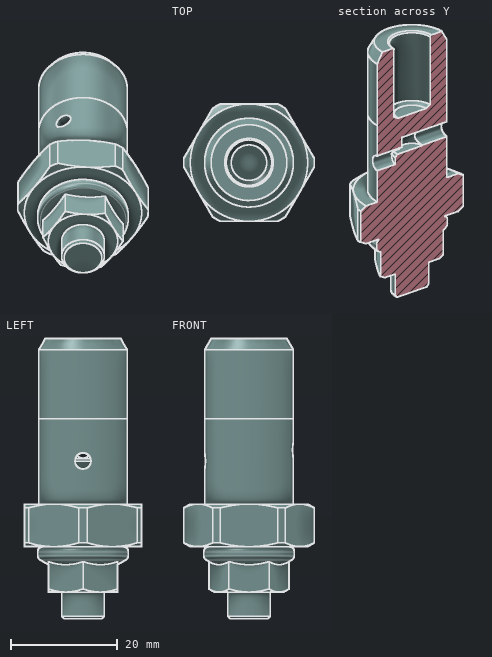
import cadquery as cq
import math

total_height = 52.5
nut_bottom = 5.0
hex_bottom = 13.5
hex_top = 21.5

stud_top = 30.0
stud_diameter = 8.0
stud_tip_diameter = 7.1
stud_chamfer_height = 0.5

hex_width = 22.0
hex_corner_diameter = 24.5
nut_width = 13.0
hex_chamfer_angle = math.radians(30)

collar_diameter = 17.0
collar_round = 0.9
collar_band_bottom = 11.8
collar_cone_angle = math.radians(30)
collar_tangent_angle = math.pi / 2 - collar_cone_angle

body_diameter = 16.66
lower_body_diameter = 16.65
lower_body_top = 37.5
body_tip_diameter = 14.2
body_chamfer_angle = math.radians(60)

bore_diameter = 8.5
bore_mouth_diameter = 9.1
bore_mouth_depth = 0.3
bore_floor_diameter = 6.65
bore_floor_height = 37.5
bore_cone_height = 0.5

chamber_diameter = 4.75

cross_hole_diameter = 3.0
left_hole_height = 29.55
right_hole_height = 31.6

chamber_top = right_hole_height + cross_hole_diameter / 2


def revolve_profile(profile):
    """Turn a closed (radius, height) profile around the Z axis."""
    return profile.close().revolve(360, (0, 0, 0), (0, 1, 0))


def corner_diameter(width):
    """Diameter across the corners of a hexagon given by its width across flats."""
    return width / math.cos(math.pi / 6)


def hexagon(width, bottom, top):
    """Hexagonal prism given by its width across flats."""
    plane = cq.Workplane("XY").workplane(offset=bottom)
    return plane.polygon(6, corner_diameter(width)).extrude(top - bottom)


def chamfered_disc(face_diameter, outer_diameter, bottom, top, chamfer_top):
    """Disc whose conical edge chamfers trim the corners of a hexagon."""
    face_radius = face_diameter / 2
    outer_radius = outer_diameter / 2
    drop = (outer_radius - face_radius) * math.tan(hex_chamfer_angle)
    profile = (
        cq.Workplane("XZ")
        .moveTo(0, bottom)
        .lineTo(face_radius, bottom)
        .lineTo(outer_radius, bottom + drop)
    )
    if chamfer_top:
        profile = profile.lineTo(outer_radius, top - drop).lineTo(face_radius, top)
    else:
        profile = profile.lineTo(outer_radius, top)
    return revolve_profile(profile.lineTo(0, top))


def make_stud():
    radius = stud_diameter / 2
    tip_radius = stud_tip_diameter / 2
    return revolve_profile(
        cq.Workplane("XZ")
        .lineTo(tip_radius, 0)
        .lineTo(radius, stud_chamfer_height)
        .lineTo(radius, stud_top - stud_chamfer_height)
        .lineTo(tip_radius, stud_top)
        .lineTo(0, stud_top)
    )


def collar_arc_point(angle):
    """Point on the lower collar round, at an angle below the horizontal."""
    center_radius = collar_diameter / 2 - collar_round
    radius = center_radius + collar_round * math.cos(angle)
    height = collar_band_bottom - collar_round * math.sin(angle)
    return radius, height


def make_nut():
    nut_top = collar_arc_point(collar_tangent_angle)[1]
    blank = hexagon(nut_width, nut_bottom, nut_top)
    return blank.intersect(chamfered_disc(nut_width, corner_diameter(nut_width), nut_bottom, nut_top, False))


def make_collar():
    radius = collar_diameter / 2
    band_top = hex_bottom - collar_round
    cone_radius, cone_top = collar_arc_point(collar_tangent_angle)
    apex_height = cone_top - cone_radius * math.tan(collar_cone_angle)
    upper_mid = (
        radius - collar_round + collar_round * math.cos(math.pi / 4),
        band_top + collar_round * math.sin(math.pi / 4),
    )
    return revolve_profile(
        cq.Workplane("XZ")
        .moveTo(0, apex_height)
        .lineTo(cone_radius, cone_top)
        .threePointArc(collar_arc_point(collar_tangent_angle / 2), (radius, collar_band_bottom))
        .lineTo(radius, band_top)
        .threePointArc(upper_mid, (radius - collar_round, hex_bottom))
        .lineTo(0, hex_bottom)
    )


def make_main_hex():
    blank = hexagon(hex_width, hex_bottom, hex_top)
    return blank.intersect(chamfered_disc(hex_width, hex_corner_diameter, hex_bottom, hex_top, True))


def make_body():
    radius = body_diameter / 2
    lower_radius = lower_body_diameter / 2
    tip_radius = body_tip_diameter / 2
    chamfer_height = (radius - tip_radius) * math.tan(body_chamfer_angle)
    return revolve_profile(
        cq.Workplane("XZ")
        .moveTo(0, hex_bottom)
        .lineTo(lower_radius, hex_bottom)
        .lineTo(lower_radius, lower_body_top)
        .lineTo(radius, lower_body_top)
        .lineTo(radius, total_height - chamfer_height)
        .lineTo(tip_radius, total_height)
        .lineTo(0, total_height)
    )


def make_bore():
    radius = bore_diameter / 2
    return revolve_profile(
        cq.Workplane("XZ")
        .moveTo(0, bore_floor_height)
        .lineTo(bore_floor_diameter / 2, bore_floor_height)
        .lineTo(radius, bore_floor_height + bore_cone_height)
        .lineTo(radius, total_height - bore_mouth_depth)
        .lineTo(bore_mouth_diameter / 2, total_height)
        .lineTo(0, total_height)
    )


def make_chamber():
    bottom = stud_top - stud_chamfer_height
    height = chamber_top - bottom
    return cq.Workplane("XY").workplane(offset=bottom).circle(chamber_diameter / 2).extrude(height)


def cross_hole(side, height):
    """Hole along X from the axis out through one side (-1 left, 1 right)."""
    return (
        cq.Workplane("YZ")
        .center(0, height)
        .circle(cross_hole_diameter / 2)
        .extrude(side * body_diameter)
    )


body = make_main_hex().union(make_body()).cut(make_bore()).cut(make_chamber())
for side, height in ((-1, left_hole_height), (1, right_hole_height)):
    body = body.cut(cross_hole(side, height))

result = body.union(make_collar()).union(make_nut()).union(make_stud())